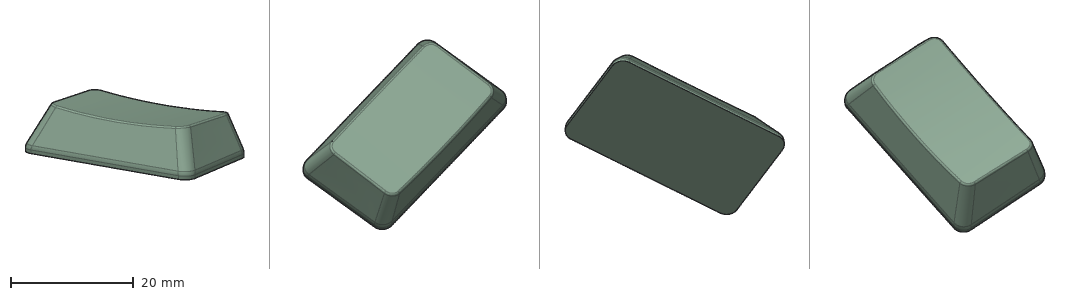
import cadquery as cq
import math

length = 32.45
width = 18.16
corner_radius = 2.0
skirt_height = 0.64

bend_height = 0.7
bend_top = skirt_height + bend_height

end_wall_slope = math.tan(math.radians(24.7))
front_wall_slope = math.tan(math.radians(27.0))
back_wall_slope = math.tan(math.radians(4.7))
upper_corner_radius = 1.75

dish_radius = 112.0
dish_tilt = 3.1
dish_center_height = 6.76
top_edge_radius = 0.4

untrimmed_height = 8.5


def inset_per_slope(height):
    """How far a wall of unit slope has moved inward at a height: parabolic bend, then straight."""
    if height <= bend_top:
        return (height - skirt_height) ** 2 / (2 * bend_height)
    return height - bend_top + bend_height / 2


def wall_section(height):
    """Rounded rectangle outlining the four walls at a height."""
    inset = inset_per_slope(height)
    size_x = length - 2 * inset * end_wall_slope
    size_y = width - inset * (front_wall_slope + back_wall_slope)
    center_y = inset * (front_wall_slope - back_wall_slope) / 2
    sketch = cq.Sketch().rect(size_x, size_y).vertices().fillet(corner_radius)
    return sketch.moved(cq.Location(cq.Vector(0, center_y, height)))


def make_skirt():
    """Straight band from the base up to the bend."""
    return cq.Workplane("XY").placeSketch(wall_section(skirt_height)).extrude(-skirt_height)


def make_bend():
    """Smooth loft from the vertical skirt to the foot of the sloped walls."""
    bend_middle = skirt_height + bend_height / 2
    sections = [wall_section(height) for height in (skirt_height, bend_middle, bend_top)]
    return cq.Workplane("XY").placeSketch(*sections).loft()


def make_sloped_walls():
    """Ruled walls from the level bend up to a rounded rectangle tilted like the dish."""
    inset = inset_per_slope(untrimmed_height)
    tilt_slope = math.tan(math.radians(dish_tilt))
    front_y = (-width / 2 + inset * front_wall_slope) / (1 + front_wall_slope * tilt_slope)
    back_y = (width / 2 - inset * back_wall_slope) / (1 - back_wall_slope * tilt_slope)
    center_y = (front_y + back_y) / 2
    center_height = untrimmed_height - center_y * tilt_slope
    size_x = length - 2 * inset * end_wall_slope
    size_along_tilt = (back_y - front_y) / math.cos(math.radians(dish_tilt))

    upper = cq.Sketch().rect(size_x, size_along_tilt).vertices().fillet(upper_corner_radius)
    tilt = cq.Location(cq.Vector(0, 0, 0), cq.Vector(1, 0, 0), -dish_tilt)
    upper = upper.moved(cq.Location(cq.Vector(0, center_y, center_height)) * tilt)
    return cq.Workplane("XY").placeSketch(wall_section(bend_top), upper).loft(ruled=True)


def make_dish():
    """Cylinder lying along Y, tilted about X so its low line rises toward the front."""
    dish_length = 2 * width
    cylinder = cq.Solid.makeCylinder(
        dish_radius,
        dish_length,
        cq.Vector(0, -dish_length / 2, dish_radius),
        cq.Vector(0, 1, 0),
    )
    tilted = cylinder.rotate(cq.Vector(0, 0, 0), cq.Vector(1, 0, 0), -dish_tilt)
    return cq.Workplane(tilted.translate(cq.Vector(0, 0, dish_center_height)))


keycap = make_skirt().union(make_bend()).union(make_sloped_walls())
keycap = keycap.cut(make_dish())
result = keycap.faces(">Z").edges().fillet(top_edge_radius)